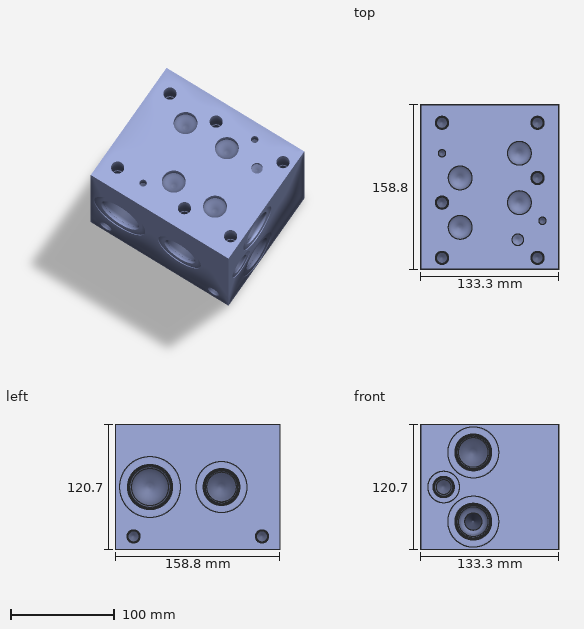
import cadquery as cq
import math

LENGTH_X = 133.35
LENGTH_Y = 158.75
HEIGHT = 120.65

DRILL_POINT_ANGLE = 118.0

BOLT_THREAD_DIA = 12.7
BOLT_DRILL_DIA = 10.72
BOLT_THREAD_DEPTH = 22.23
BOLT_DRILL_DEPTH = 28.58

BOLT_SPAN_U = 130.18
BOLT_SPAN_V = 92.08
BACK_MARGIN = 17.46
INTERFACE_X = (LENGTH_X + BOLT_SPAN_V) / 2
INTERFACE_Y = LENGTH_Y - BACK_MARGIN
BOLT_U_RIGHT = 53.18
BOLT_U_LEFT = 77.0
BOLT_POSITIONS = [
    (0, 0),
    (BOLT_U_RIGHT, 0),
    (BOLT_SPAN_U, 0),
    (0, BOLT_SPAN_V),
    (BOLT_U_LEFT, BOLT_SPAN_V),
    (BOLT_SPAN_U, BOLT_SPAN_V),
]

FLOW_DIA = 23.01
FLOW_DEPTH = 6.35
FLOW_POSITIONS = [(29.36, 17.46), (77.0, 17.46), (53.18, 74.61), (100.81, 74.61)]

PILOT_DIA = 11.11
PILOT_DEPTH = 3.0
PILOT_POSITION = (112.71, 19.05)

PIN_DIA = 7.14
PIN_DEPTH = 8.0
PIN_POSITIONS = [(29.36, BOLT_SPAN_V), (94.46, -4.76)]

SPOTFACE_DEPTH = 0.76
PORT_8 = dict(
    spotface=30.5, mouth=20.6, seat=19.3, thread=19.05, minor=17.6, drill=14.29,
    seat_depth=3.0, thread_depth=14.3, minor_depth=18.0, drill_depth=24.0,
)
PORT_16 = dict(
    spotface=49.2, mouth=35.51, seat=33.76, thread=33.34, minor=31.27, drill=28.57,
    seat_depth=3.8, thread_depth=19.8, minor_depth=23.6, drill_depth=30.0,
)
PORT_20 = dict(
    spotface=58.7, mouth=43.5, seat=41.7, thread=41.28, minor=39.22, drill=35.71,
    seat_depth=3.8, thread_depth=19.8, minor_depth=23.6, drill_depth=30.0,
)

PORT_AB_X = 50.8
PORT_A_Z = 26.97
PORT_B_Z = HEIGHT - PORT_A_Z
PORT_Y_POSITION = (22.23, HEIGHT / 2)
A_PASSAGE_DIA = 16.67
A_PASSAGE_DEPTH = 50.0
A_PASSAGE_POINT_ANGLE = 30.0

PORT_T_POSITION = (125.4, HEIGHT / 2)
PORT_P_POSITION = (56.5, HEIGHT / 2)
MOUNT_MARGIN = 17.46
MOUNT_Z = 12.7


def point_length(diameter, angle=DRILL_POINT_ANGLE):
    """Length of a conical point with the given base diameter and included angle."""
    return diameter / 2 / math.tan(math.radians(angle / 2))


def bore_cutter(steps, drill_dia, drill_depth, point_angle=DRILL_POINT_ANGLE):
    """Revolved cutter entering along -Z: (radius, depth) steps, then a pointed drill."""
    tip_depth = drill_depth + point_length(drill_dia, point_angle)
    points = [(0, 0)]
    points += [(radius, -depth) for radius, depth in steps]
    points += [(drill_dia / 2, -drill_depth), (0, -tip_depth)]
    return cq.Workplane("XZ").polyline(points).close().revolve(360, (0, 0, 0), (0, 1, 0))


def plain_cutter(diameter, depth, point_angle=DRILL_POINT_ANGLE):
    return bore_cutter([(diameter / 2, 0)], diameter, depth, point_angle)


def bolt_cutter():
    steps = [
        (BOLT_THREAD_DIA / 2, 0),
        (BOLT_THREAD_DIA / 2, BOLT_THREAD_DEPTH),
        (BOLT_DRILL_DIA / 2, BOLT_THREAD_DEPTH),
    ]
    return bore_cutter(steps, BOLT_DRILL_DIA, BOLT_DRILL_DEPTH)


def port_cutter(port):
    shoulder_depth = port["minor_depth"] + point_length(port["minor"] - port["drill"])
    steps = [
        (port["spotface"] / 2, 0),
        (port["spotface"] / 2, SPOTFACE_DEPTH),
        (port["mouth"] / 2, SPOTFACE_DEPTH),
        (port["seat"] / 2, port["seat_depth"]),
        (port["thread"] / 2, port["seat_depth"]),
        (port["thread"] / 2, port["thread_depth"]),
        (port["minor"] / 2, port["thread_depth"]),
        (port["minor"] / 2, port["minor_depth"]),
        (port["drill"] / 2, shoulder_depth),
    ]
    return bore_cutter(steps, port["drill"], port["drill_depth"])


def on_top(cutter, position):
    u, v = position
    return cutter.translate((INTERFACE_X - v, INTERFACE_Y - u, HEIGHT))


def on_front(cutter, position):
    x, z = position
    return cutter.rotate((0, 0, 0), (1, 0, 0), 90).translate((x, 0, z))


def on_left(cutter, position):
    y, z = position
    return cutter.rotate((0, 0, 0), (0, 1, 0), -90).translate((0, y, z))


def valve_interface_cutters():
    cutters = [on_top(bolt_cutter(), position) for position in BOLT_POSITIONS]
    cutters += [on_top(plain_cutter(FLOW_DIA, FLOW_DEPTH), position) for position in FLOW_POSITIONS]
    cutters += [on_top(plain_cutter(PIN_DIA, PIN_DEPTH), position) for position in PIN_POSITIONS]
    cutters.append(on_top(plain_cutter(PILOT_DIA, PILOT_DEPTH), PILOT_POSITION))
    return cutters


def front_port_cutters():
    port_a_position = (PORT_AB_X, PORT_A_Z)
    port_b_position = (PORT_AB_X, PORT_B_Z)
    passage = plain_cutter(A_PASSAGE_DIA, A_PASSAGE_DEPTH, A_PASSAGE_POINT_ANGLE)
    return [
        on_front(port_cutter(PORT_16), port_a_position),
        on_front(passage, port_a_position),
        on_front(port_cutter(PORT_16), port_b_position),
        on_front(port_cutter(PORT_8), PORT_Y_POSITION),
    ]


def left_face_cutters():
    return [
        on_left(port_cutter(PORT_20), PORT_T_POSITION),
        on_left(port_cutter(PORT_16), PORT_P_POSITION),
        on_left(bolt_cutter(), (MOUNT_MARGIN, MOUNT_Z)),
        on_left(bolt_cutter(), (LENGTH_Y - MOUNT_MARGIN, MOUNT_Z)),
    ]


result = cq.Workplane("XY").box(LENGTH_X, LENGTH_Y, HEIGHT, centered=False)
for cutter in valve_interface_cutters() + front_port_cutters() + left_face_cutters():
    result = result.cut(cutter)